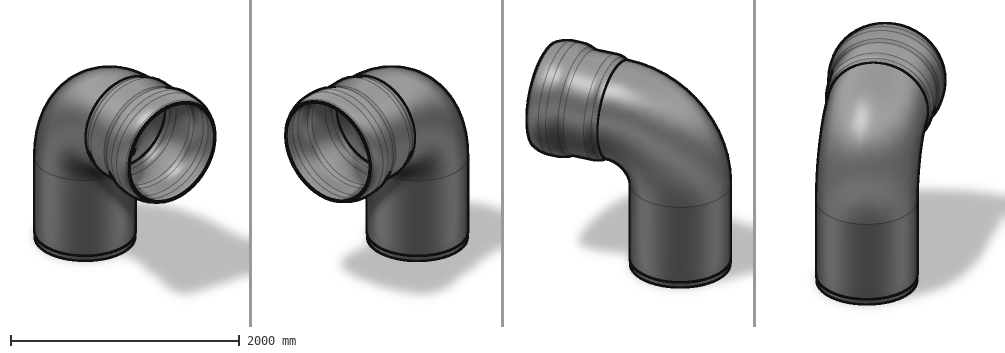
import cadquery as cq

total_height = 1911.0
total_length = 1705.0
wall = 16.2

pipe_diameter = 890.0
spigot_tip_diameter = 883.0
sleeve_diameter = 952.0
bulge_diameter = 1022.0
mouth_diameter = 955.0

straight_length = 805.0
spigot_tip_length = 50.0
spigot_bevel_length = 8.0
pipe_radius = pipe_diameter / 2
socket_axis_z = total_height - bulge_diameter / 2
bend_radius = socket_axis_z - straight_length

mouth_x = total_length - pipe_radius
socket_length = mouth_x - bend_radius
land_length = 10.0
shoulder_hollow_length = 45.0
shoulder_round_length = 63.0
bulge_hollow_length = 50.0
bulge_round_length = 105.0
bulge_flat_length = 70.0
lip_round_length = 107.0
lip_taper_length = 21.0
lip_taper_diameter = 975.0
sleeve_length = socket_length - (
    land_length + shoulder_hollow_length + shoulder_round_length
    + bulge_hollow_length + bulge_round_length + bulge_flat_length
    + lip_round_length + lip_taper_length
)


def make_bend(radius):
    """Quarter bend of a solid rod, turning from +Z to +X."""
    return (
        cq.Workplane("XY", origin=(0, 0, straight_length))
        .circle(radius)
        .revolve(90, (bend_radius, 0), (bend_radius, 1))
    )


def make_spigot():
    """Solid straight leg with a slightly reduced tip below a short bevel."""
    bevel_top = spigot_tip_length + spigot_bevel_length
    return (
        cq.Workplane("XZ")
        .lineTo(spigot_tip_diameter / 2, 0)
        .lineTo(spigot_tip_diameter / 2, spigot_tip_length)
        .lineTo(pipe_radius, bevel_top)
        .lineTo(pipe_radius, straight_length)
        .lineTo(0, straight_length)
        .close()
        .revolve(360, (0, 0), (0, 1))
    )


def make_elbow():
    bore_radius = pipe_radius - wall
    straight_bore = cq.Workplane("XY").circle(bore_radius).extrude(straight_length)
    straight = make_spigot().cut(straight_bore)
    bend = make_bend(pipe_radius).cut(make_bend(bore_radius))
    return straight.union(bend)


def step_out(profile, hollow_length, round_length, rise):
    """Add an S-curve of two tangent arcs, starting and ending parallel to the axis."""
    hollow_rise = rise * hollow_length / (hollow_length + round_length)
    return (
        profile
        .tangentArcPoint((hollow_length, hollow_rise))
        .tangentArcPoint((round_length, rise - hollow_rise))
    )


def make_socket_form(inset):
    """Revolved socket shape with every radius reduced by the inset."""
    start_radius = pipe_radius - inset
    shoulder_rise = (sleeve_diameter - pipe_diameter) / 2
    bulge_rise = (bulge_diameter - sleeve_diameter) / 2
    lip_round_drop = (bulge_diameter - lip_taper_diameter) / 2
    lip_taper_drop = (lip_taper_diameter - mouth_diameter) / 2

    profile = (
        cq.Workplane("XZ", origin=(bend_radius, 0, socket_axis_z))
        .lineTo(0, start_radius)
        .line(land_length, 0)
    )
    profile = step_out(profile, shoulder_hollow_length, shoulder_round_length, shoulder_rise)
    profile = profile.line(sleeve_length, 0)
    profile = step_out(profile, bulge_hollow_length, bulge_round_length, bulge_rise)
    return (
        profile
        .line(bulge_flat_length, 0)
        .tangentArcPoint((lip_round_length, -lip_round_drop))
        .line(lip_taper_length, -lip_taper_drop)
        .lineTo(socket_length, 0)
        .close()
        .revolve(360, (0, 0), (1, 0))
    )


def make_socket():
    return make_socket_form(0).cut(make_socket_form(wall))


elbow = make_elbow()
socket = make_socket()
result = cq.Compound.makeCompound([elbow.solids().val(), socket.solids().val()])